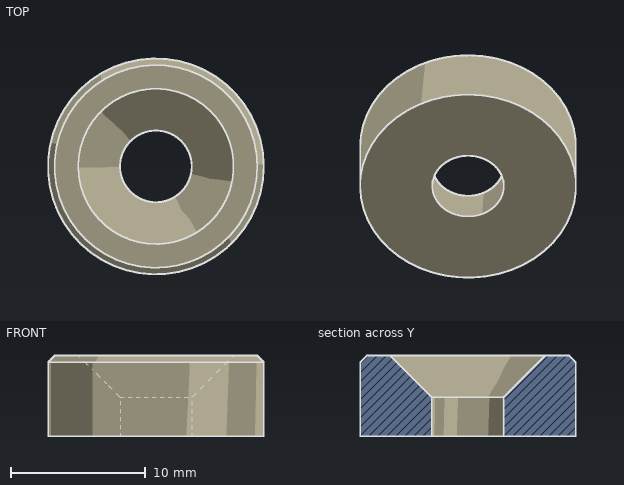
import cadquery as cq

outer_diameter = 16.0
height = 6.0
rim_chamfer = 0.5
hole_diameter = 5.3
countersink_diameter = 11.5
countersink_angle = 90.0

body = cq.Workplane("XY").circle(outer_diameter / 2).extrude(height)
body = body.faces(">Z").edges().chamfer(rim_chamfer)

result = body.faces(">Z").workplane().cskHole(hole_diameter, countersink_diameter, countersink_angle)